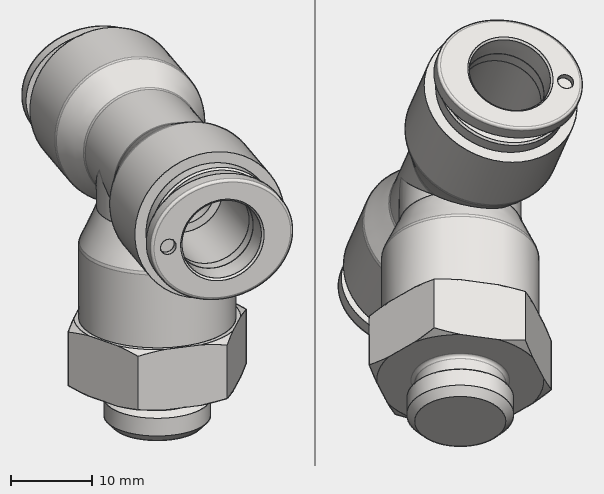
import cadquery as cq
import math

overall_length = 51.4
overall_height = 44.4

body_dia = 19.4
waist_dia = 15.0
waist_end = 5.75
flare_end = 10.7
arm_end = 20.7
flare_blend = 1.05
passage_dia = 8.0
socket_dia = 10.2
socket_depth = 10.3

ring_dia = 16.5
ring_width = 1.85
ring_chamfer = 0.25
ring_seat_depth = 0.2

sleeve_neck_dia = 11.7
sleeve_flange_width = 18.4
sleeve_flange_height = 16.0
sleeve_flange_thickness = 2.0
sleeve_rim_blend = 0.35
sleeve_bore_inner_dia = 10.15
sleeve_bore_outer_dia = 10.3
sleeve_mouth_chamfer = 0.25
dot_dia = 2.0
dot_offset = 7.0
dot_depth = 0.75

hex_across_flats = 20.0
hex_top = -20.6
hex_height = 8.05
hex_chamfer_dia = 20.55
hex_chamfer_angle = 20.0
hex_clearance = 0.5
stud_neck_dia = 11.2
stud_neck_blend = 0.45
stud_thread_dia = 13.15
stud_thread_top_chamfer = 0.6
stud_thread_length = 4.0
stud_tip_chamfer = 1.05

sleeve_face = overall_length / 2
ring_face = arm_end + ring_width
sleeve_seat = ring_face - ring_seat_depth
hex_bottom = hex_top - hex_height
hex_across_corners = hex_across_flats / math.cos(math.radians(30))
stud_tip = body_dia / 2 - overall_height
mirrored_sides = (1, -1)
pick_margin = 0.05


def disc_x(dia, start, end):
    """Cylinder along the X axis between two stations."""
    return cq.Workplane("YZ", origin=(start, 0, 0)).circle(dia / 2).extrude(end - start)


def edges_centred_at(x, z):
    """Selector for the circular edges centred at one point of the XZ plane."""
    low = (x - pick_margin, -pick_margin, z - pick_margin)
    high = (x + pick_margin, pick_margin, z + pick_margin)
    return cq.selectors.BoxSelector(low, high)


def make_run():
    """Straight part of the tee: two wide arms flaring from a waist."""
    waist_r = waist_dia / 2
    body_r = body_dia / 2
    half_profile = [(flare_end, body_r), (arm_end, body_r), (arm_end, 0)]
    profile = [(-x, r) for x, r in reversed(half_profile)]
    profile += [(-waist_end, waist_r), (waist_end, waist_r)]
    profile += half_profile
    run = cq.Workplane("XY").polyline(profile).close().revolve(360, (0, 0, 0), (1, 0, 0))
    for side in mirrored_sides:
        for corner in (waist_end, flare_end):
            run = run.edges(edges_centred_at(side * corner, 0)).fillet(flare_blend)
    return run


def make_branch():
    """Leg of the tee, pointing down and ending on the hexagon."""
    profile = [(0, 0), (waist_dia / 2, 0), (waist_dia / 2, -waist_end)]
    profile += [(body_dia / 2, -flare_end), (body_dia / 2, hex_top), (0, hex_top)]
    branch = cq.Workplane("XZ").polyline(profile).close().revolve(360, (0, 0, 0), (0, 1, 0))
    return branch.edges(edges_centred_at(0, -flare_end)).fillet(flare_blend)


def make_housing():
    housing = make_run().union(make_branch())
    housing = housing.cut(disc_x(passage_dia, -arm_end, arm_end))
    for side in mirrored_sides:
        housing = housing.cut(disc_x(socket_dia, side * (arm_end - socket_depth), side * arm_end))
    return housing


def make_ring(side):
    ring = disc_x(ring_dia, arm_end, ring_face).faces(">X").chamfer(ring_chamfer)
    ring = ring.cut(disc_x(socket_dia, arm_end, ring_face))
    ring = ring.cut(disc_x(sleeve_neck_dia, sleeve_seat, ring_face))
    return ring if side > 0 else ring.mirror("YZ")


def make_sleeve(side):
    """Oval push flange on a round neck, with a slightly tapered tube bore."""
    flange_back = sleeve_face - sleeve_flange_thickness
    flange = (
        cq.Workplane("YZ", origin=(flange_back, 0, 0))
        .ellipse(sleeve_flange_width / 2, sleeve_flange_height / 2)
        .extrude(sleeve_flange_thickness)
        .faces(">X").edges().fillet(sleeve_rim_blend)
    )
    neck = disc_x(sleeve_neck_dia, sleeve_seat, flange_back)
    outer_r = sleeve_bore_outer_dia / 2
    bore = (
        cq.Workplane("XY")
        .moveTo(sleeve_seat, 0)
        .lineTo(sleeve_seat, sleeve_bore_inner_dia / 2)
        .lineTo(sleeve_face - sleeve_mouth_chamfer, outer_r)
        .lineTo(sleeve_face, outer_r + sleeve_mouth_chamfer)
        .lineTo(sleeve_face, 0)
        .close()
        .revolve(360, (0, 0, 0), (1, 0, 0))
    )
    dot = disc_x(dot_dia, sleeve_face - dot_depth, sleeve_face).translate((0, -dot_offset, 0))
    sleeve = flange.union(neck).cut(bore).cut(dot)
    return sleeve if side > 0 else sleeve.mirror("YZ")


def make_hexagon():
    """Hexagon with corners on the Y axis, its corners bevelled at both ends."""
    hexagon = (
        cq.Workplane("XY", origin=(0, 0, hex_bottom))
        .polygon(6, hex_across_corners)
        .extrude(hex_height)
        .rotate((0, 0, 0), (0, 0, 1), 90)
    )
    flat_r = hex_chamfer_dia / 2
    reach_r = hex_across_corners / 2 + hex_clearance
    drop = (reach_r - flat_r) * math.tan(math.radians(hex_chamfer_angle))
    envelope = [(0, hex_top), (flat_r, hex_top), (reach_r, hex_top - drop)]
    envelope += [(reach_r, hex_bottom + drop), (flat_r, hex_bottom), (0, hex_bottom)]
    turned = cq.Workplane("XZ").polyline(envelope).close().revolve(360, (0, 0, 0), (0, 1, 0))
    return hexagon.intersect(turned)


def make_stud():
    neck_r = stud_neck_dia / 2
    thread_r = stud_thread_dia / 2
    thread_top = stud_tip + stud_thread_length
    profile = [(0, hex_bottom), (neck_r, hex_bottom), (neck_r, thread_top)]
    profile += [(thread_r, thread_top - stud_thread_top_chamfer)]
    profile += [(thread_r, stud_tip + stud_tip_chamfer), (neck_r, stud_tip), (0, stud_tip)]
    shank = cq.Workplane("XZ").polyline(profile).close().revolve(360, (0, 0, 0), (0, 1, 0))
    root_blend = (
        cq.Workplane("XZ")
        .moveTo(neck_r, hex_bottom)
        .lineTo(neck_r + stud_neck_blend, hex_bottom)
        .radiusArc((neck_r, hex_bottom - stud_neck_blend), -stud_neck_blend)
        .close()
        .revolve(360, (0, 0, 0), (0, 1, 0))
    )
    return make_hexagon().union(shank).union(root_blend)


housing = make_housing()
stud = make_stud()
rings = [make_ring(side) for side in mirrored_sides]
sleeves = [make_sleeve(side) for side in mirrored_sides]

result = cq.Compound.makeCompound(
    [housing.val(), stud.val()] + [body.val() for body in rings + sleeves]
)